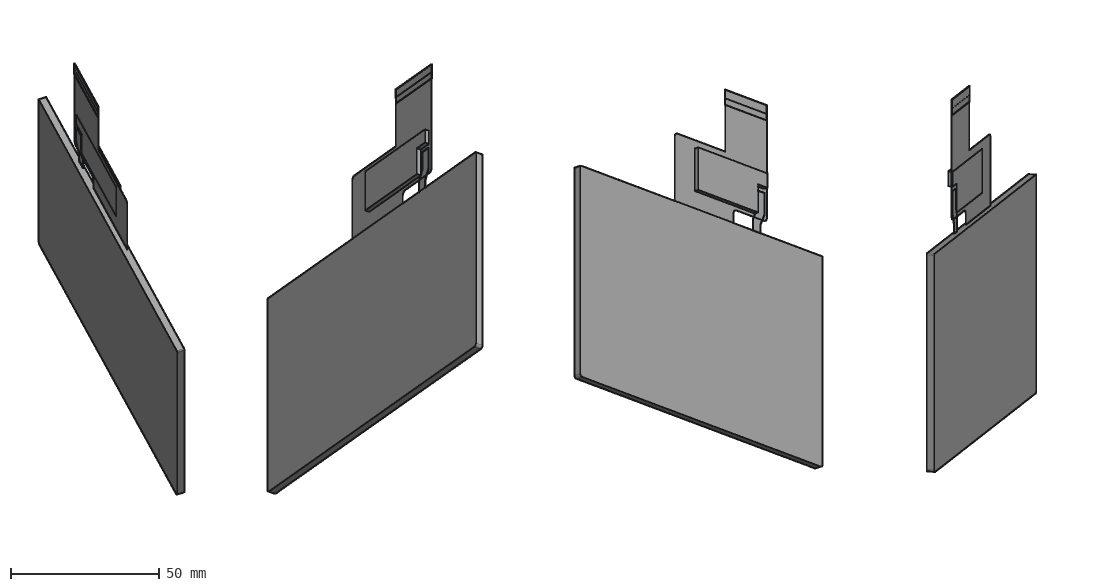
import cadquery as cq

PANEL_WIDTH = 120.6
PANEL_HEIGHT = 75.8
PANEL_THICKNESS = 2.7
BOTTOM_CORNER_RADIUS = 1.0
TOP_CORNER_RADIUS = 0.4

OVERALL_HEIGHT = 123.1
FILM_FRONT = 1.8
FILM_THICKNESS = 0.1
FILM_BACK = FILM_FRONT + FILM_THICKNESS
FILM_LEFT = -33.5
NECK_WIDTH = 20.8
FILM_WIDTH = 45.9
SHOULDER_Z = 100.8
FOOT_LEFT = -16.9
FOOT_TOP_Z = 81.1
FILM_CORNER_RADIUS = 1.5
EMBED_DEPTH = 0.6

STIFFENER_HEIGHT = 5.4
STIFFENER_THICKNESS = 0.18
CONTACT_HEIGHT = 3.2
CONTACT_THICKNESS = 0.04

COVER_INSET = 1.5
COVER_LEFT = FILM_LEFT + COVER_INSET
COVER_WIDTH = 34.6
COVER_BOTTOM_Z = 82.5
COVER_HEIGHT = 15.3
COVER_BACK = 3.6
NOTCH_WIDTH = 4.7
NOTCH_HEIGHT = 10.1

TAIL_LEFT = COVER_LEFT
TAIL_WIDTH = 3.7
TAIL_SHIFT = 2.0
TAIL_TOP_Z = 91.1
TAIL_LEFT_BEND_Z = 83.1
TAIL_RIGHT_BEND_Z = 84.2
TAIL_BEND_HEIGHT = 4.0
TAIL_THICKNESS = 0.2


def block(left, width, front, back, bottom, height):
    """Box given by its left, front and bottom faces."""
    return cq.Workplane("XY").box(width, back - front, height, centered=False).translate(
        (left, front, bottom)
    )


def plate(points, front, back):
    """Flat plate with an X-Z outline, filling the space between two Y positions."""
    sketch_plane = cq.Workplane("XZ", origin=(0, back, 0))
    return sketch_plane.polyline(points).close().extrude(back - front)


def make_panel():
    panel = block(-PANEL_WIDTH / 2, PANEL_WIDTH, 0, PANEL_THICKNESS, 0, PANEL_HEIGHT)
    panel = panel.edges("|Y and <Z").fillet(BOTTOM_CORNER_RADIUS)
    return panel.edges("|Y and >Z").fillet(TOP_CORNER_RADIUS)


def make_film():
    neck_right = FILM_LEFT + NECK_WIDTH
    film_right = FILM_LEFT + FILM_WIDTH
    root_z = PANEL_HEIGHT - EMBED_DEPTH
    outline = [
        (FILM_LEFT, OVERALL_HEIGHT),
        (neck_right, OVERALL_HEIGHT),
        (neck_right, SHOULDER_Z),
        (film_right, SHOULDER_Z),
        (film_right, root_z),
        (FOOT_LEFT, root_z),
        (FOOT_LEFT, FOOT_TOP_Z),
        (FILM_LEFT, FOOT_TOP_Z),
    ]
    film = plate(outline, FILM_FRONT, FILM_BACK)
    rounded_corners = [
        (film_right, SHOULDER_Z),
        (FOOT_LEFT, FOOT_TOP_Z),
        (FILM_LEFT, FOOT_TOP_Z),
    ]
    middle_y = (FILM_FRONT + FILM_BACK) / 2
    for x, z in rounded_corners:
        corner = cq.selectors.NearestToPointSelector((x, middle_y, z))
        film = film.edges(corner).fillet(FILM_CORNER_RADIUS)
    return film


def make_film_end():
    stiffener = block(
        FILM_LEFT, NECK_WIDTH,
        FILM_FRONT - STIFFENER_THICKNESS, FILM_FRONT,
        OVERALL_HEIGHT - STIFFENER_HEIGHT, STIFFENER_HEIGHT,
    )
    contacts = block(
        FILM_LEFT, NECK_WIDTH,
        FILM_BACK, FILM_BACK + CONTACT_THICKNESS,
        OVERALL_HEIGHT - CONTACT_HEIGHT, CONTACT_HEIGHT,
    )
    return stiffener, contacts


def make_cover():
    cover = block(COVER_LEFT, COVER_WIDTH, FILM_BACK, COVER_BACK, COVER_BOTTOM_Z, COVER_HEIGHT)
    notch = block(COVER_LEFT, NOTCH_WIDTH, FILM_BACK, COVER_BACK, COVER_BOTTOM_Z, NOTCH_HEIGHT)
    return cover.cut(notch)


def make_tail():
    tail_right = TAIL_LEFT + TAIL_WIDTH
    root_z = PANEL_HEIGHT - EMBED_DEPTH
    outline = [
        (TAIL_LEFT, TAIL_TOP_Z),
        (tail_right, TAIL_TOP_Z),
        (tail_right, TAIL_RIGHT_BEND_Z),
        (tail_right + TAIL_SHIFT, TAIL_RIGHT_BEND_Z - TAIL_BEND_HEIGHT),
        (tail_right + TAIL_SHIFT, root_z),
        (TAIL_LEFT + TAIL_SHIFT, root_z),
        (TAIL_LEFT + TAIL_SHIFT, TAIL_LEFT_BEND_Z - TAIL_BEND_HEIGHT),
        (TAIL_LEFT, TAIL_LEFT_BEND_Z),
    ]
    return plate(outline, FILM_BACK, FILM_BACK + TAIL_THICKNESS)


stiffener, contacts = make_film_end()
result = make_panel()
for piece in (make_film(), stiffener, contacts, make_cover(), make_tail()):
    result = result.union(piece)